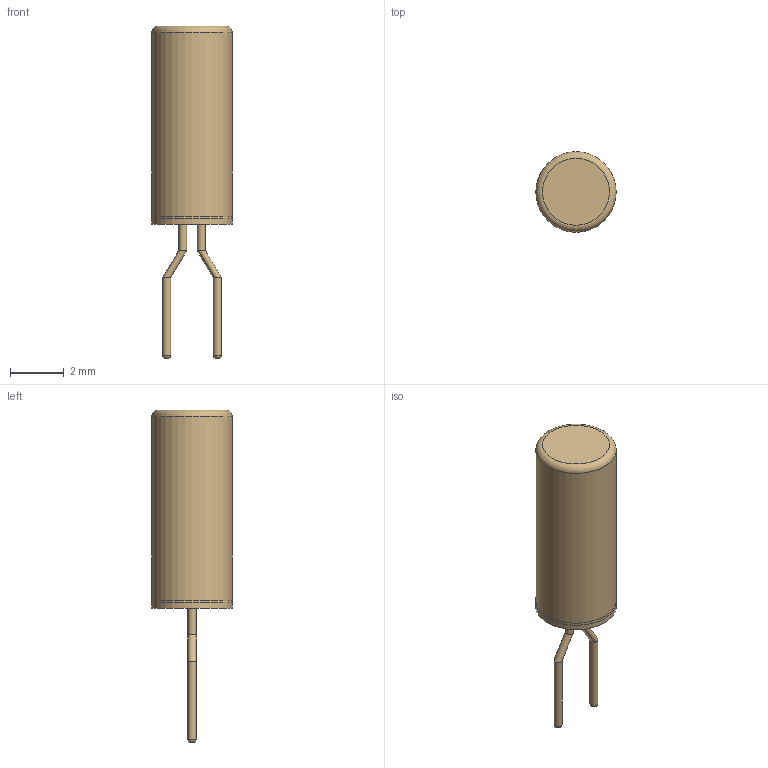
import cadquery as cq

can_diameter = 3.0
can_height = 7.4
base_thickness = 0.2
seal_thickness = 0.1
top_fillet = 0.25

lead_diameter = 0.3
lead_length = 5.0
lead_pitch_at_can = 0.7
lead_pitch_at_tip = 1.9
jog_start = 1.0
jog_end = 2.0
tip_fillet = 0.075

can_radius = can_diameter / 2
lead_radius = lead_diameter / 2
shell_height = can_height - base_thickness - seal_thickness


def make_band(bottom, height):
    """Full-diameter disc of the can, starting at the given height."""
    return cq.Workplane("XY", origin=(0, 0, bottom)).circle(can_radius).extrude(height)


def make_can():
    """Base plate, seal ring and round-topped shell, with their seam lines kept."""
    base = make_band(0, base_thickness)
    seal = make_band(base_thickness, seal_thickness)
    shell = make_band(base_thickness + seal_thickness, shell_height)
    shell = shell.faces(">Z").edges().fillet(top_fillet)
    return base.union(seal, clean=False).union(shell, clean=False)


def make_lead(side):
    """Lead on the +X (side = 1) or -X (side = -1) half of the can."""
    upper_x = side * lead_pitch_at_can / 2
    lower_x = side * lead_pitch_at_tip / 2
    upper = cq.Workplane("XY", origin=(upper_x, 0, 0)).circle(lead_radius).extrude(-jog_start)
    jog = (
        cq.Workplane("XY", origin=(upper_x, 0, -jog_start))
        .circle(lead_radius)
        .workplane(offset=jog_start - jog_end)
        .center(lower_x - upper_x, 0)
        .circle(lead_radius)
        .loft(ruled=True)
    )
    lower = (
        cq.Workplane("XY", origin=(lower_x, 0, -jog_end))
        .circle(lead_radius)
        .extrude(jog_end - lead_length)
        .faces("<Z")
        .edges()
        .fillet(tip_fillet)
    )
    return upper.union(jog).union(lower)


result = make_can()
for lead_side in (-1, 1):
    result = result.union(make_lead(lead_side), clean=False)